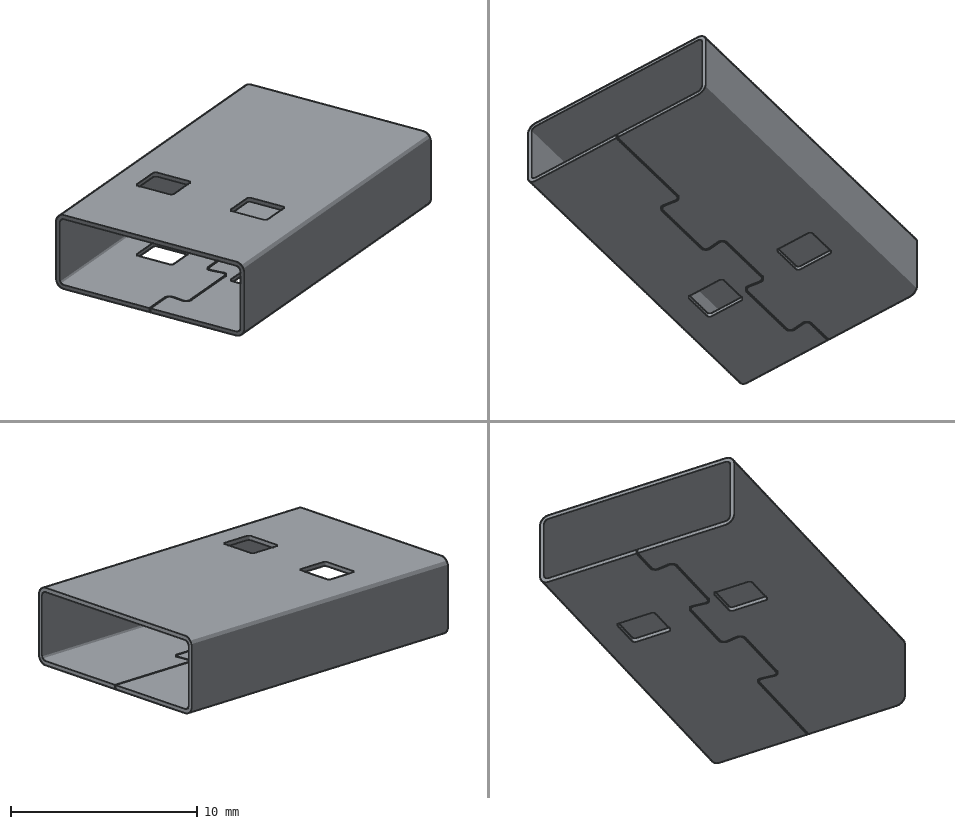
import cadquery as cq

width = 11.9
length = 19.0
height = 4.4
wall = 0.25
outer_radius = 0.53
inner_radius = outer_radius - wall

window_width = 2.32
window_length = 1.94
window_radius = 0.17
window_spacing = 5.93
window_front_setback = 5.17

seam_gap = 0.08
tab_reach = 1.31
tab_setback = 1.86
tab_length = 3.8
tab_pitch = 2 * tab_length
tab_count = 2
tab_flare = 0.17
tab_corner_radius = 0.28


def rounded_bar(bar_width, bar_height, radius):
    """Full-length bar along Y with rounded long edges."""
    return cq.Workplane("XY").box(bar_width, length, bar_height).edges("|Y").fillet(radius)


def latch_windows():
    """Pair of rounded cutters passing through the top and bottom walls."""
    window_y = -length / 2 + window_front_setback + window_length / 2
    return (
        cq.Workplane("XY")
        .pushPoints([(side * window_spacing / 2, window_y) for side in (-1, 1)])
        .rect(window_width, window_length)
        .extrude(height, both=True)
        .edges("|Z")
        .fillet(window_radius)
    )


def tab_corners(root_y):
    """Corners of one dovetail tab that starts at root_y and widens towards its tip."""
    end_y = root_y + tab_length
    return [
        (0, root_y),
        (tab_reach, root_y - tab_flare),
        (tab_reach, end_y + tab_flare),
        (0, end_y),
    ]


def seam_slot():
    """Thin gap along the interlocking sheet edges, through the bottom wall only."""
    corners = []
    for index in range(tab_count):
        corners += tab_corners(-length / 2 + tab_setback + index * tab_pitch)
    overshoot = wall
    end_y = length / 2 + overshoot
    slot_bottom = -height / 2 - overshoot
    stations = [(0, -end_y), *corners, (0, end_y)]
    points = [cq.Vector(x, y, slot_bottom) for x, y in stations]
    centreline = cq.Wire.makePolygon(points)
    bends = [vertex for vertex in centreline.Vertices() if abs(vertex.Y) < length / 2]
    centreline = centreline.fillet2D(tab_corner_radius, bends)
    outline = centreline.offset2D(seam_gap / 2)[0]
    depth = cq.Vector(0, 0, wall + 2 * overshoot)
    return cq.Workplane(cq.Solid.extrudeLinear(outline, [], depth))


shell = rounded_bar(width, height, outer_radius)
shell = shell.cut(rounded_bar(width - 2 * wall, height - 2 * wall, inner_radius))
shell = shell.cut(latch_windows())
result = shell.cut(seam_slot())